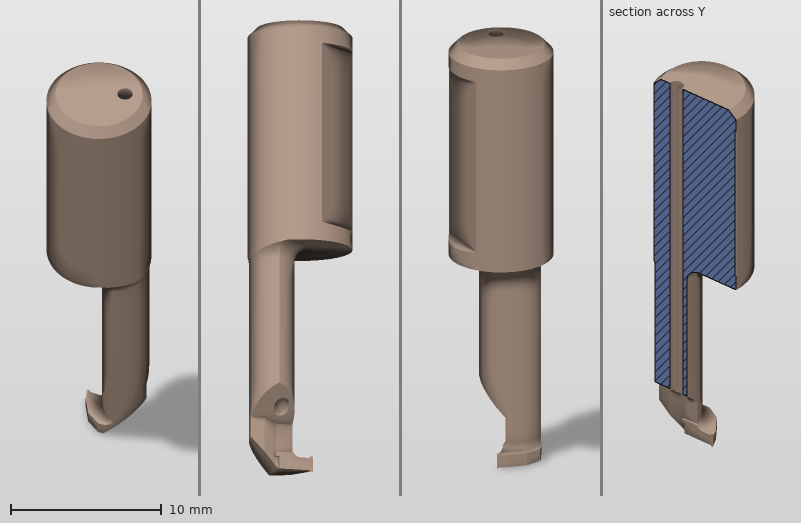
import cadquery as cq
import math

total_height = 30.0

shank_radius = 3.495
shank_bottom = total_height / 2
shank_chamfer = 0.6

flat_distance = 2.85
flat_direction = 133.0
flat_bottom = 16.08
flat_top = 28.4
flat_ramp_rise = 0.18

outer_radius = 2.37
outer_center_x = 1.08
relief_radius = 2.25
relief_center_x = 2.73
shank_flare = 1.0

hole_radius = 0.5
hole_x = 1.53
hole_y = 0.8

rake_flat_y = 0.12
groove_floor_y = -0.15
groove_floor_end_x = 1.68
groove_wall_end_x = 2.5
runout_bottom = 3.42
tip_flare = 0.5

tip_joint_x = 1.45
tip_bottom = 0.1
tip_top = 0.93
root_joint_x = 1.68
root_top = 1.23
lip_width = 0.18
lip_depth = 0.18
lip_top = 1.05
edge_x = -0.9
front_corner = (-0.65, -0.65)
heel_corner = (0.05, -1.77)


def make_shank():
    shank = (
        cq.Workplane("XY", origin=(0, 0, shank_bottom))
        .circle(shank_radius)
        .extrude(total_height - shank_bottom)
        .faces(">Z")
        .chamfer(shank_chamfer)
    )
    return shank.cut(make_flat_cutter())


def make_flat_cutter():
    """Profile across the flat: radial distance against Z, with a ramp at the lower end."""
    reach = 2 * shank_radius
    return (
        cq.Workplane("XZ")
        .polyline([
            (flat_distance, flat_top),
            (flat_distance, flat_bottom + flat_ramp_rise),
            (shank_radius, flat_bottom),
            (reach, flat_bottom),
            (reach, flat_top),
        ])
        .close()
        .extrude(shank_radius, both=True)
        .rotate((0, 0, 0), (0, 0, 1), flat_direction)
    )


def flared_round(center_x, radius, lower_flare):
    """Round column that flares concavely into the shank and, if asked, onto the top of the tip."""
    diagonal = 1 - math.sqrt(0.5)
    profile = cq.Workplane("XZ").moveTo(0, 0).lineTo(radius + lower_flare, 0)
    if lower_flare > 0:
        profile = (
            profile.lineTo(radius + lower_flare, tip_top)
            .threePointArc(
                (radius + lower_flare * diagonal, tip_top + lower_flare * diagonal),
                (radius, tip_top + lower_flare),
            )
        )
    return (
        profile.lineTo(radius, shank_bottom - shank_flare)
        .threePointArc(
            (radius + shank_flare * diagonal, shank_bottom - shank_flare * diagonal),
            (radius + shank_flare, shank_bottom),
        )
        .lineTo(0, shank_bottom)
        .close()
        .revolve(360, (0, 0, 0), (0, 1, 0))
        .translate((center_x, 0, 0))
    )


def make_neck():
    shank_outline = cq.Workplane("XY").circle(shank_radius).extrude(shank_bottom)
    neck = flared_round(outer_center_x, outer_radius, 0)
    neck = neck.intersect(flared_round(relief_center_x, relief_radius, tip_flare))
    return neck.intersect(shank_outline)


def make_rake_cutter():
    """Clears the +Y half of the neck end down to the rake flat and the groove beside it."""
    reach = 2 * shank_radius
    flat_outline = [
        (-reach, groove_floor_y),
        (groove_floor_end_x, groove_floor_y),
        (groove_wall_end_x, rake_flat_y),
        (reach, rake_flat_y),
        (reach, reach),
        (-reach, reach),
    ]
    runout_outline = [
        (-reach, -reach),
        (reach, -reach),
        (reach, runout_bottom + reach - rake_flat_y),
        (-reach, runout_bottom - reach - rake_flat_y),
    ]
    flat = cq.Workplane("XY").polyline(flat_outline).close().extrude(2 * reach)
    below_runout = cq.Workplane("YZ").polyline(runout_outline).close().extrude(reach, both=True)
    return flat.intersect(below_runout)


def make_back_relief_cutter():
    """45 degree cut rising toward +X from the lower corner of the tip joint."""
    reach = 2 * shank_radius
    return (
        cq.Workplane("XZ")
        .polyline([
            (tip_joint_x, tip_bottom),
            (tip_joint_x + reach, tip_bottom + reach),
            (tip_joint_x + reach, -reach),
            (tip_joint_x, -reach),
        ])
        .close()
        .extrude(reach, both=True)
    )


def make_tip_space():
    """Stepped space on the -X side of the joint: plate level at the bottom, root level above it."""
    reach = 2 * shank_radius
    return (
        cq.Workplane("XZ")
        .polyline([
            (-reach, -reach),
            (tip_joint_x, -reach),
            (tip_joint_x, tip_top),
            (root_joint_x, tip_top),
            (root_joint_x, root_top),
            (-reach, root_top),
        ])
        .close()
        .extrude(reach, both=True)
    )


def make_holder():
    hole = cq.Workplane("XY").center(hole_x, hole_y).circle(hole_radius).extrude(total_height)
    return (
        make_shank()
        .union(make_neck())
        .cut(make_rake_cutter())
        .cut(make_back_relief_cutter())
        .cut(make_tip_space())
        .cut(hole)
    )


def tip_outline():
    """Hooked outline whose heel blends into the outer round of the neck."""
    joint_y = -math.sqrt(outer_radius**2 - (tip_joint_x - outer_center_x)**2)
    return cq.Workplane("XY").polyline([
        (edge_x, 0),
        front_corner,
        heel_corner,
        (outer_center_x, -outer_radius),
        (tip_joint_x, joint_y),
        (tip_joint_x, 0),
    ]).close()


def make_tip_root():
    """Lower end of the flared neck above the plate, kept on the -Y side of the rake plane."""
    reach = 2 * shank_radius
    root_space = (
        cq.Workplane("XY", origin=(0, 0, tip_top))
        .box(2 * reach, reach, reach, centered=(True, False, False))
        .translate((0, -reach, 0))
        .intersect(make_tip_space())
    )
    return make_neck().intersect(root_space)


def make_tip():
    plate = tip_outline().extrude(tip_top - tip_bottom).translate((0, 0, tip_bottom))
    lip = (
        cq.Workplane("YZ", origin=(edge_x, 0, 0))
        .polyline([(0, 0), (0, lip_top), (-lip_depth, tip_top), (-lip_depth, tip_bottom)])
        .close()
        .extrude(lip_width)
        .intersect(tip_outline().extrude(lip_top))
    )
    return plate.union(lip).union(make_tip_root())


holder = make_holder()
tip = make_tip()

result = cq.Compound.makeCompound([holder.solids().val(), tip.solids().val()])